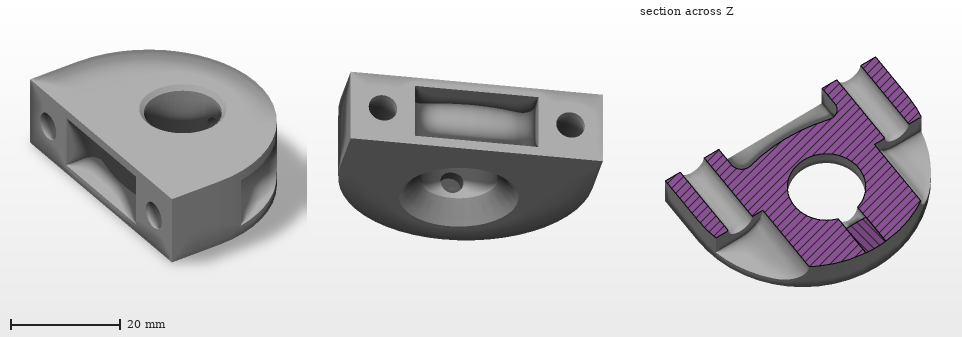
import cadquery as cq
import math

width = 47.0
height = 14.0
foot_depth = 10.5
back_radius = width / 2

bore_center_y = 18.0
bore_radius = 7.15
top_chamfer = 0.85
bottom_chamfer = 3.8

screw_spacing = 34.95
screw_hole_diameter = 5.3
head_slot_width = 9.95
head_slot_floor_y = 15.5

pocket_width = 23.05
pocket_height = 10.5
pocket_min_depth = 5.08
pocket_back_radius = 33.85
pocket_corner_radius = 2.2

radial_hole_diameter = 4.3
pin_tip_y = 27.4

total_depth = foot_depth + back_radius


def cylinder_along_y(x, diameter, start_y, end_y):
    """Cylinder at mid-height, parallel to Y."""
    axis = cq.Vector(0, 1, 0)
    start = cq.Vector(x, start_y, 0)
    return cq.Workplane(cq.Solid.makeCylinder(diameter / 2, end_y - start_y, start, axis))


def make_blank():
    return (
        cq.Workplane("XY")
        .moveTo(-width / 2, 0)
        .lineTo(width / 2, 0)
        .lineTo(width / 2, foot_depth)
        .threePointArc((0, total_depth), (-width / 2, foot_depth))
        .close()
        .extrude(height / 2, both=True)
    )


def make_pocket():
    """Pocket with corner arcs tangent to its side walls and to its bulging back wall."""
    back_center_y = pocket_min_depth + pocket_back_radius
    half_width = pocket_width / 2
    corner_x = half_width - pocket_corner_radius
    center_distance = pocket_back_radius + pocket_corner_radius
    corner_y = back_center_y - math.sqrt(center_distance**2 - corner_x**2)

    ratio = pocket_back_radius / center_distance
    tangent_x = corner_x * ratio
    tangent_y = back_center_y + (corner_y - back_center_y) * ratio

    end_angle = math.atan2(back_center_y - corner_y, -corner_x)
    middle_x = corner_x + pocket_corner_radius * math.cos(end_angle / 2)
    middle_y = corner_y + pocket_corner_radius * math.sin(end_angle / 2)

    return (
        cq.Workplane("XY")
        .moveTo(-half_width, 0)
        .lineTo(half_width, 0)
        .lineTo(half_width, corner_y)
        .threePointArc((middle_x, middle_y), (tangent_x, tangent_y))
        .threePointArc((0, pocket_min_depth), (-tangent_x, tangent_y))
        .threePointArc((-middle_x, middle_y), (-half_width, corner_y))
        .close()
        .extrude(pocket_height / 2, both=True)
    )


def make_head_slot(side):
    """Round-bottomed slot behind a screw hole, open to the back and outward."""
    screw_x = side * screw_spacing / 2
    slot_length = total_depth - head_slot_floor_y
    round_bottom = cylinder_along_y(screw_x, head_slot_width, head_slot_floor_y, total_depth)
    outward_opening = cq.Workplane("XY").box(width / 2, slot_length, head_slot_width).translate(
        (screw_x + side * width / 4, head_slot_floor_y + slot_length / 2, 0)
    )
    return round_bottom.union(outward_opening)


def make_radial_hole():
    return cylinder_along_y(0, radial_hole_diameter, bore_center_y, total_depth)


def make_bore():
    """Through bore that flares out at 45 degrees at both ends."""
    return (
        cq.Workplane("YZ")
        .moveTo(0, -height / 2)
        .lineTo(bore_radius + bottom_chamfer, -height / 2)
        .lineTo(bore_radius, -height / 2 + bottom_chamfer)
        .lineTo(bore_radius, height / 2 - top_chamfer)
        .lineTo(bore_radius + top_chamfer, height / 2)
        .lineTo(0, height / 2)
        .close()
        .revolve(360, (0, 0, 0), (0, 1, 0))
        .translate((0, bore_center_y, 0))
    )


def make_housing():
    body = make_blank().cut(make_pocket()).cut(make_bore()).cut(make_radial_hole())
    for side in (-1, 1):
        screw_x = side * screw_spacing / 2
        body = body.cut(cylinder_along_y(screw_x, screw_hole_diameter, 0, total_depth))
        body = body.cut(make_head_slot(side))
    return body


def make_pin():
    """Pin in the radial hole, its outer end flush with the round back."""
    return cylinder_along_y(0, radial_hole_diameter, pin_tip_y, total_depth).intersect(make_blank())


housing = make_housing()
pin = make_pin()

result = cq.Compound.makeCompound([housing.val(), pin.val()])